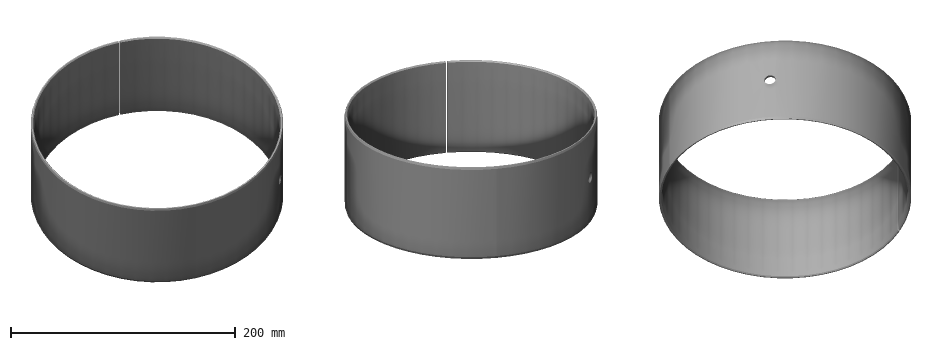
import cadquery as cq

outer_diameter = 225.0
wall = 2.5
height = 90.0

bevel_height = 2.0
bevel_width = 0.7

inner_chamfer = 1.0

slit_width = 1.5

hole_diameter = 10.0
hole_height = height / 2
hole_angle = 59.0

outer_radius = outer_diameter / 2
inner_radius = outer_radius - wall
cut_reach = outer_radius + wall


def make_sleeve():
    rim_radius = outer_radius - bevel_width
    section = [
        (inner_radius, inner_chamfer),
        (inner_radius + inner_chamfer, 0),
        (rim_radius, 0),
        (outer_radius, bevel_height),
        (outer_radius, height - bevel_height),
        (rim_radius, height),
        (inner_radius + inner_chamfer, height),
        (inner_radius, height - inner_chamfer),
    ]
    return cq.Workplane("XZ").polyline(section).close().revolve(360, (0, 0), (0, 1))


def make_slit():
    return cq.Workplane("XY").box(cut_reach, slit_width, height, centered=False).translate((-cut_reach, 0, 0))


def make_hole():
    hole = cq.Workplane("YZ").center(0, hole_height).circle(hole_diameter / 2).extrude(cut_reach)
    return hole.rotate((0, 0, 0), (0, 0, 1), hole_angle)


result = make_sleeve().cut(make_slit()).cut(make_hole())